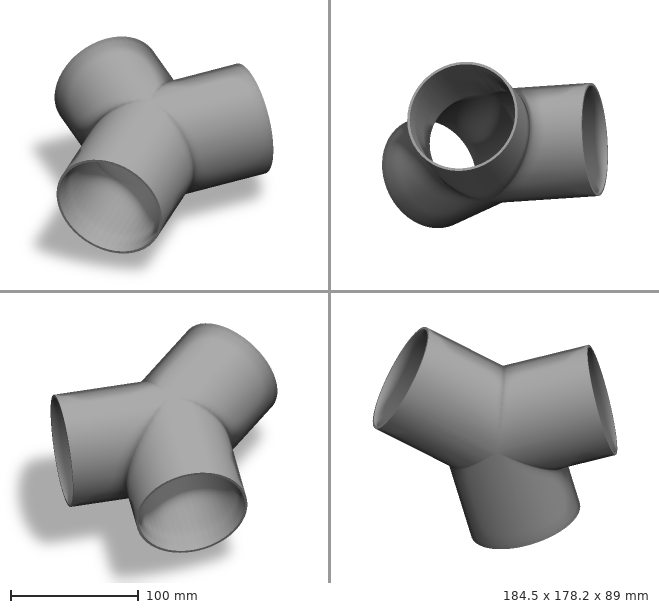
import cadquery as cq
import math

outer_diameter = 89.0
bore_diameter = 84.9
overall_width = 184.5
branch_angle = 45.0
outer_seam_radius = 1.0

wall_thickness = (outer_diameter - bore_diameter) / 2
bore_seam_radius = outer_seam_radius + wall_thickness

branch_tilt = math.radians(branch_angle)
end_rim_reach = outer_diameter / 2 * math.cos(branch_tilt)
leg_length = (overall_width / 2 - end_rim_reach) / math.sin(branch_tilt)

inlet_direction = cq.Vector(0, -1, 0)
branch_directions = [
    cq.Vector(side * math.sin(branch_tilt), math.cos(branch_tilt), 0)
    for side in (-1, 1)
]


def leg_cylinder(diameter, direction):
    """Cylinder from the common centre out to the open end of one leg."""
    center = cq.Vector(0, 0, 0)
    cylinder = cq.Solid.makeCylinder(diameter / 2, leg_length, center, direction)
    return cq.Workplane(obj=cylinder)


def joined_legs(diameter, seam_radius):
    """Solid Y of three cylinders with the mitred seams between them rounded."""
    body = leg_cylinder(diameter, inlet_direction)
    for direction in branch_directions:
        body = body.union(leg_cylinder(diameter, direction))
    return body.edges("%ELLIPSE").fillet(seam_radius)


outside = joined_legs(outer_diameter, outer_seam_radius)
bores = joined_legs(bore_diameter, bore_seam_radius)
result = outside.cut(bores)